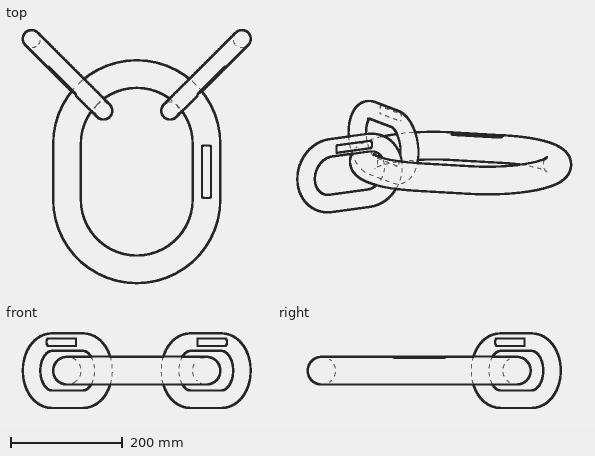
import cadquery as cq
import math

MASTER_WIRE = 50.0
MASTER_INNER_WIDTH = 200.0
MASTER_STRAIGHT = 100.0

SUB_WIRE = 32.0
SUB_INNER_WIDTH = 70.5
SUB_STRAIGHT = 80.0
SUB_ANGLE = 45
SUB_OFFSET_X = 124.0
SUB_OFFSET_Y = 173.5

MASTER_RECESS_WIDTH = 17.0
SUB_RECESS_WIDTH = 13.5
RECESS_DEPTH = 2.3
RECESS_END_MARGIN = 2.5
RECESS_END_RADIUS = 6.5


def link_ring(wire, inner_width, straight):
    """Round-wire oval link centred on the origin, long axis along Y, flat in XY."""
    bend_radius = (inner_width + wire) / 2
    half_straight = straight / 2
    path = (
        cq.Workplane("XY")
        .moveTo(bend_radius, -half_straight)
        .lineTo(bend_radius, half_straight)
        .threePointArc((0, half_straight + bend_radius), (-bend_radius, half_straight))
        .lineTo(-bend_radius, -half_straight)
        .threePointArc((0, -half_straight - bend_radius), (bend_radius, -half_straight))
        .close()
    )
    section = cq.Workplane("XZ", origin=(bend_radius, -half_straight, 0)).circle(wire / 2)
    return section.sweep(path)


def recess_cutter(leg_x, wire, straight, width):
    """Cutter with a flat floor and concave rounded ends, on the +Z side of the leg at +X."""
    crest = wire / 2
    floor = crest - RECESS_DEPTH
    half_length = straight / 2 - RECESS_END_MARGIN
    end_run = math.sqrt(RECESS_END_RADIUS**2 - (RECESS_END_RADIUS - RECESS_DEPTH) ** 2)
    half_floor = half_length - end_run
    return (
        cq.Workplane("YZ", origin=(leg_x - width / 2, 0, 0))
        .moveTo(-half_floor, floor)
        .lineTo(half_floor, floor)
        .radiusArc((half_length, crest), -RECESS_END_RADIUS)
        .lineTo(-half_length, crest)
        .radiusArc((-half_floor, floor), -RECESS_END_RADIUS)
        .close()
        .extrude(width)
    )


def link(wire, inner_width, straight, recess_width):
    """One complete link: the wire ring less its marking recess."""
    leg_x = (inner_width + wire) / 2
    ring = link_ring(wire, inner_width, straight)
    return ring.cut(recess_cutter(leg_x, wire, straight, recess_width))


def sub_link(side):
    """Upright sub-link on the given X side (-1 or 1), its recess on the upper leg, facing outwards."""
    left_link = (
        link(SUB_WIRE, SUB_INNER_WIDTH, SUB_STRAIGHT, SUB_RECESS_WIDTH)
        .rotate((0, 0, 0), (0, 1, 0), -90)
        .rotate((0, 0, 0), (0, 0, 1), SUB_ANGLE)
        .translate((-SUB_OFFSET_X, SUB_OFFSET_Y, 0))
    )
    return left_link if side < 0 else left_link.mirror("YZ")


master_link = link(MASTER_WIRE, MASTER_INNER_WIDTH, MASTER_STRAIGHT, MASTER_RECESS_WIDTH)
sub_links = [sub_link(side).val() for side in (-1, 1)]

result = cq.Compound.makeCompound([master_link.val(), *sub_links])